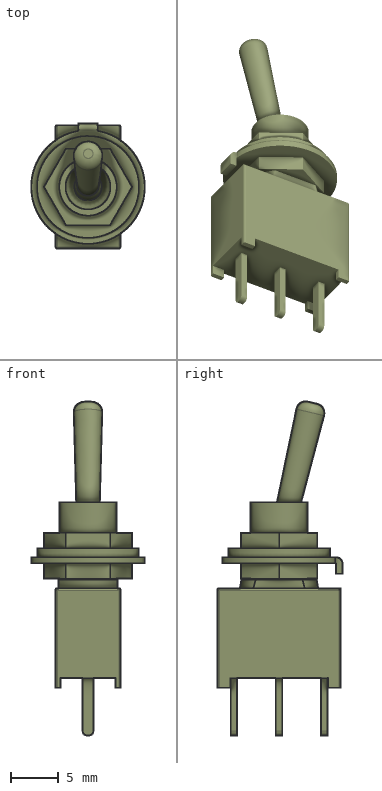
import cadquery as cq
import math


body_width = 6.8
body_length = 12.9
body_height = 10.4
edge_fillet = 0.2
foot_height = 1.0
foot_width = 0.55
foot_length = 1.35

pin_count = 3
pin_pitch = 4.72
pin_width = 1.15
pin_thickness = 0.7
pin_length = 6.0
pin_tip_radius = 0.5

collar_bottom_radius = 4.1
collar_top_radius = 3.95
collar_height = 0.9
collar_flat_half_width = 3.1

nut_across_flats = 7.99
nut_height = 1.6
lower_nut_base = 1.0
lock_washer_radius = 5.95
lock_washer_thickness = 0.65
washer_radius = 5.33
washer_thickness = 0.95
bushing_radius = 3.0
bushing_height = 9.0

lock_washer_base = lower_nut_base + nut_height
washer_base = lock_washer_base + lock_washer_thickness
upper_nut_base = washer_base + washer_thickness

tab_width = 2.0
tab_thickness = 0.7
tab_drop = 1.75

mouth_radius = 2.35
mouth_floor_radius = 1.4

lever_tilt = 13.3
lever_pivot_height = 4.6
lever_ball_radius = 1.43
lever_length = 15.21
lever_pivot_radius = 1.13
lever_tip_radius = 1.53
lever_tip_fillet = 1.0


def make_body():
    """Block with four corner feet left by two crossing channels in its underside."""
    body = cq.Workplane("XY").box(
        body_width, body_length, body_height, centered=(True, True, False)
    ).translate((0, 0, -body_height))
    body = body.edges("(|Z or >Z) exc (>Z and >Y)").fillet(edge_fillet)
    for channel_width, channel_length in (
        (body_width - 2 * foot_width, body_length),
        (body_width, body_length - 2 * foot_length),
    ):
        channel = cq.Workplane("XY").box(
            channel_width, channel_length, foot_height, centered=(True, True, False)
        )
        body = body.cut(channel.translate((0, 0, -body_height)))
    return body


def make_pin(y):
    """Flat terminal with rounded lower corners, hanging from the body's underside."""
    pin = cq.Workplane("XY").box(
        pin_width, pin_thickness, pin_length, centered=(True, True, False)
    )
    pin = pin.edges("|Y and <Z").fillet(pin_tip_radius)
    return pin.translate((0, y, foot_height - body_height - pin_length))


def make_collar():
    """Slightly tapered round collar with a flat on each X side."""
    collar = (
        cq.Workplane("XY")
        .circle(collar_bottom_radius)
        .workplane(offset=collar_height)
        .circle(collar_top_radius)
        .loft()
    )
    flats = cq.Workplane("XY").box(
        2 * collar_flat_half_width, 2 * collar_bottom_radius, collar_height, centered=(True, True, False)
    )
    return collar.intersect(flats)


def make_disc(radius, base, thickness):
    return cq.Workplane("XY").workplane(offset=base).circle(radius).extrude(thickness)


def make_nut(base):
    """Hexagonal nut with two of its corners on the X axis."""
    across_corners = nut_across_flats / math.cos(math.radians(30))
    return cq.Workplane("XY").workplane(offset=base).polygon(6, across_corners).extrude(nut_height)


def make_tab():
    """Tab reaching past the lock washer on +Y and bent down with a round outer corner."""
    tab_end = lock_washer_radius + tab_thickness
    tab_root = lock_washer_radius - tab_thickness
    tab_top = washer_base
    bend_offset = tab_thickness * (1 - math.sqrt(0.5))
    return (
        cq.Workplane("YZ")
        .moveTo(tab_root, lock_washer_base)
        .lineTo(tab_root, tab_top)
        .lineTo(lock_washer_radius, tab_top)
        .threePointArc((tab_end - bend_offset, tab_top - bend_offset), (tab_end, tab_top - tab_thickness))
        .lineTo(tab_end, tab_top - tab_drop)
        .lineTo(lock_washer_radius, tab_top - tab_drop)
        .lineTo(lock_washer_radius, lock_washer_base)
        .close()
        .extrude(tab_width / 2, both=True)
    )


def make_mouth():
    """Conical hollow of the bushing, reaching down to the level of the lever's pivot."""
    return (
        cq.Workplane("XY")
        .workplane(offset=lever_pivot_height)
        .circle(mouth_floor_radius)
        .workplane(offset=bushing_height - lever_pivot_height)
        .circle(mouth_radius)
        .loft()
    )


def make_lever():
    """Tapered bat, widest at its rounded tip, growing from a pivot ball and tilted towards +Y."""
    lever = (
        cq.Workplane("XZ")
        .lineTo(lever_pivot_radius, 0)
        .lineTo(lever_tip_radius, lever_length)
        .lineTo(0, lever_length)
        .close()
        .revolve(360, (0, 0, 0), (0, 1, 0))
    )
    lever = lever.faces(">Z").edges().fillet(lever_tip_fillet)
    lever = lever.union(cq.Workplane("XY").sphere(lever_ball_radius))
    lever = lever.rotate((0, 0, 0), (1, 0, 0), -lever_tilt)
    return lever.translate((0, 0, lever_pivot_height))


result = make_body()
for pin_index in range(pin_count):
    pin_y = (pin_index - (pin_count - 1) / 2) * pin_pitch
    result = result.union(make_pin(pin_y))

result = (
    result.union(make_collar())
    .union(make_disc(bushing_radius, 0, bushing_height))
    .union(make_nut(lower_nut_base))
    .union(make_disc(lock_washer_radius, lock_washer_base, lock_washer_thickness))
    .union(make_tab())
    .union(make_disc(washer_radius, washer_base, washer_thickness))
    .union(make_nut(upper_nut_base))
    .cut(make_mouth())
    .union(make_lever())
)